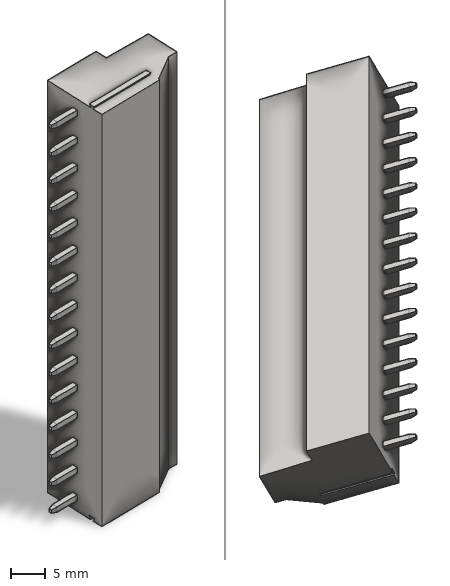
import cadquery as cq

pole_count = 15
pole_pitch = 5.0
housing_height = pole_count * pole_pitch
housing_width = 11.2
housing_depth = 18.0

ledge_width = 2.1
ledge_depth = 9.75
back_left_x = 2.3
back_right_x = 8.2
slope_end_depth = 16.3
corner_width = 0.35
corner_start_depth = 11.6
corner_end_depth = 11.75

pin_x = 5.7
pin_width = 0.9
pin_height = 1.0
pin_length = 5.0
pin_tip_length = 0.95
pin_tip_width = 0.5
pin_tip_height = 0.6

rail_x = 9.13
rail_length = 11.4
rail_height = 0.5
rail_base_width = 0.4
rail_top_width = 0.95
groove_depth = 0.6
groove_mouth_width = 0.5
groove_floor_width = 1.05


def make_housing():
    outline = [
        (0, 0),
        (housing_width, 0),
        (housing_width, corner_start_depth),
        (housing_width - corner_width, corner_end_depth),
        (back_right_x, slope_end_depth),
        (back_right_x, housing_depth),
        (back_left_x, housing_depth),
        (ledge_width, ledge_depth),
        (0, ledge_depth),
    ]
    return cq.Workplane("XY").polyline(outline).close().extrude(housing_height)


def make_dovetail(mouth_z, height, mouth_width, wide_width):
    """Dovetail bar along Y, narrow at mouth_z and widening upward."""
    half_mouth = mouth_width / 2
    half_wide = wide_width / 2
    top_z = mouth_z + height
    section = [
        (rail_x - half_mouth, mouth_z),
        (rail_x + half_mouth, mouth_z),
        (rail_x + half_wide, top_z),
        (rail_x - half_wide, top_z),
    ]
    return cq.Workplane("XZ").polyline(section).close().extrude(-rail_length)


def make_pin(center_z):
    shank_length = pin_length - pin_tip_length
    shank = (
        cq.Workplane("XZ", origin=(pin_x, 0, center_z))
        .rect(pin_width, pin_height)
        .extrude(shank_length)
    )
    tip = (
        cq.Workplane("XZ", origin=(pin_x, -shank_length, center_z))
        .rect(pin_width, pin_height)
        .workplane(offset=pin_tip_length)
        .rect(pin_tip_width, pin_tip_height)
        .loft()
    )
    return shank.union(tip)


rail = make_dovetail(housing_height, rail_height, rail_base_width, rail_top_width)
groove = make_dovetail(0, groove_depth, groove_mouth_width, groove_floor_width)

result = make_housing().union(rail).cut(groove)
for pole in range(pole_count):
    result = result.union(make_pin((pole + 0.5) * pole_pitch))